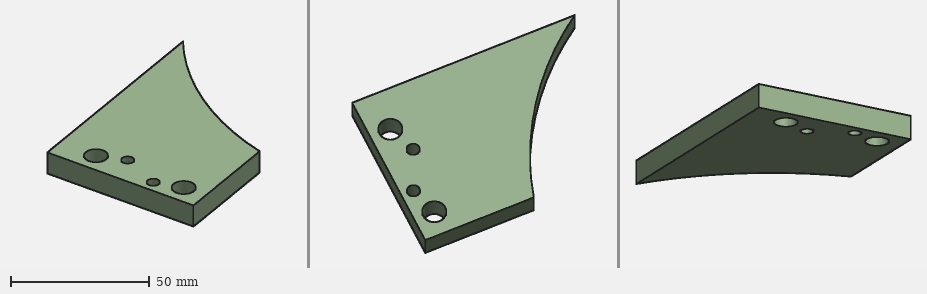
import cadquery as cq

PLATE_WIDTH = 63.5
LEFT_HEIGHT = 88.55
RIGHT_HEIGHT = 43.2
THICKNESS = 9.14

ARC_RADIUS = 114.3

BOLT_DIAMETER = 8.73
BOLT_SPACING = 38.1
DOWEL_DIAMETER = 4.76
DOWEL_SPACING_X = 15.875
DOWEL_SPACING_Y = 7.14

PATTERN_CENTRE_X = 34.925
BOLT_Y = 7.94
DOWEL_CENTRE_Y = 8.33


def make_plate():
    """Plate with three straight edges and a concave circular edge."""
    return (
        cq.Workplane("XY")
        .moveTo(0, LEFT_HEIGHT)
        .lineTo(0, 0)
        .lineTo(PLATE_WIDTH, 0)
        .lineTo(PLATE_WIDTH, RIGHT_HEIGHT)
        .radiusArc((0, LEFT_HEIGHT), ARC_RADIUS)
        .close()
        .extrude(THICKNESS)
    )


def drill_through(plate, centres, diameter):
    """Drill through holes of one diameter at the given centres."""
    cutters = cq.Workplane("XY").pushPoints(centres).circle(diameter / 2).extrude(THICKNESS)
    return plate.cut(cutters)


bolt_centres = [(PATTERN_CENTRE_X + side * BOLT_SPACING / 2, BOLT_Y) for side in (-1, 1)]

dowel_centres = [
    (PATTERN_CENTRE_X + side * DOWEL_SPACING_X / 2, DOWEL_CENTRE_Y - side * DOWEL_SPACING_Y / 2)
    for side in (-1, 1)
]

result = make_plate()
result = drill_through(result, bolt_centres, BOLT_DIAMETER)
result = drill_through(result, dowel_centres, DOWEL_DIAMETER)